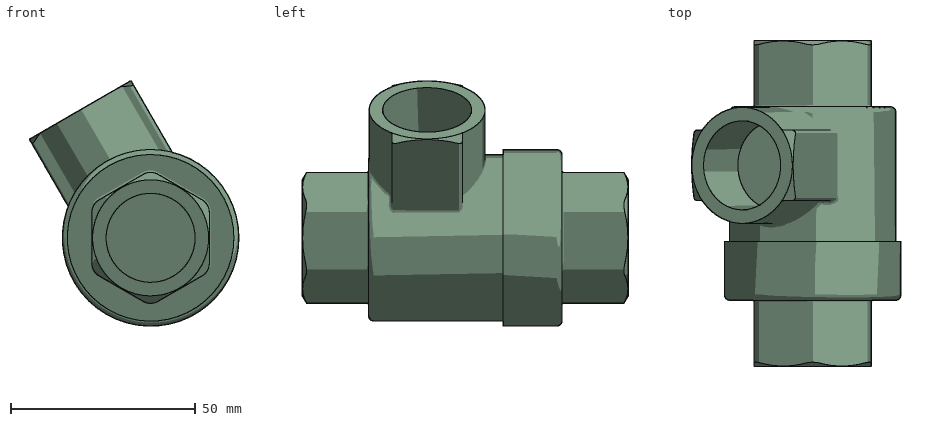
import cadquery as cq
import math

total_length = 88.5
hex_length = 18.0
branch_to_rear_end = 33.9
collar_length = 16.0
body_diameter = 45.2
collar_diameter = 48.0
rim_fillet = 1.5

rear_end = branch_to_rear_end
front_end = rear_end - total_length
body_rear = rear_end - hex_length
collar_front = front_end + hex_length
body_length = body_rear - collar_front

across_flats = 31.9
hex_corner_radius = 4.0
hex_root_fillet = 0.4
end_face_diameter = 31.5
chamfer_angle = 30.0

branch_tilt = 30.0
branch_offset = 0.8
branch_length = 39.65
branch_diameter = end_face_diameter
wrench_block_width = 19.1
wrench_edge_fillet = 1.0
wrench_root_fillet = 1.2
branch_root_fillet = 1.2

port_diameter = 24.2
port_depth = 18.6

tolerance = 0.001


def chamfer_envelope(length):
    """Cylinder along +Z whose far end narrows in a cone to the end face."""
    face_radius = end_face_diameter / 2
    outer_radius = across_flats
    cone_height = (outer_radius - face_radius) * math.tan(math.radians(chamfer_angle))
    return (
        cq.Workplane("XZ")
        .polyline([
            (0, 0),
            (outer_radius, 0),
            (outer_radius, length - cone_height),
            (face_radius, length),
            (0, length),
        ])
        .close()
        .revolve(360, (0, 0, 0), (0, 1, 0))
    )


def hex_end():
    """Rounded hexagon along +Z with a chamfered far end."""
    hexagon = (
        cq.Workplane("XY")
        .polygon(6, across_flats, circumscribed=True)
        .extrude(hex_length)
        .edges("|Z")
        .fillet(hex_corner_radius)
    )
    return hexagon.intersect(chamfer_envelope(hex_length))


def branch():
    """Round branch with two wrench flats, standing on the run axis along +Z."""
    block = cq.Workplane("XY").rect(across_flats, wrench_block_width).extrude(branch_length)
    block = block.edges("|Z").fillet(wrench_edge_fillet)
    tube = disc(branch_diameter, branch_length).union(block)
    tube = tube.edges("|Z").filter(is_wrench_root).fillet(wrench_root_fillet)
    return tube.intersect(chamfer_envelope(branch_length))


def is_wrench_root(edge):
    """True for the lines where the flat-sided block leaves the round tube."""
    middle = edge.Center()
    on_tube = math.isclose(math.hypot(middle.x, middle.y), branch_diameter / 2, abs_tol=tolerance)
    on_block_side = math.isclose(abs(middle.y), wrench_block_width / 2, abs_tol=tolerance)
    return on_tube and on_block_side


def place_branch(shape):
    """Shift a shape built along +Z sideways and lean it toward -X."""
    return shape.translate((branch_offset, 0, 0)).rotate((0, 0, 0), (0, 1, 0), -branch_tilt)


def along_y(shape, direction, y):
    """Turn a shape built along +Z to point along +Y or -Y from the given position."""
    return shape.rotate((0, 0, 0), (1, 0, 0), -90 * direction).translate((0, y, 0))


def disc(diameter, length):
    """Plain cylinder along +Z."""
    return cq.Workplane("XY").circle(diameter / 2).extrude(length)


def is_branch_root(edge):
    """True for the edges where the branch leaves the round body."""
    ends = [edge.startPoint(), edge.endPoint()]
    on_body = all(math.isclose(math.hypot(p.x, p.z), body_diameter / 2, abs_tol=tolerance) for p in ends)
    near_branch = all(abs(p.y) < branch_diameter / 2 + tolerance and p.z > 0 for p in ends)
    return on_body and near_branch


def branched_body():
    """Round body with the filleted branch, cut square at the rear and rounded along the rear rim."""
    spare_length = branch_diameter / 2
    rough = along_y(disc(body_diameter, body_length + spare_length), -1, body_rear + spare_length)
    rough = rough.union(place_branch(branch()))
    rough = rough.edges().filter(is_branch_root).fillet(branch_root_fillet)
    spare = along_y(disc(2 * total_length, spare_length), 1, body_rear)
    return rough.cut(spare).faces(">Y").edges("%CIRCLE").fillet(rim_fillet)


def add_hex(solid, direction, y):
    """Add a hexagonal end to the face at y, with a fillet around its root."""
    corner_radius = across_flats / math.sqrt(3)
    hex_root = cq.selectors.BoxSelector(
        (-corner_radius, y - tolerance, -corner_radius),
        (corner_radius, y + tolerance, corner_radius),
        boundingbox=True,
    )
    return solid.union(along_y(hex_end(), direction, y)).edges(hex_root).fillet(hex_root_fillet)


collar = along_y(disc(collar_diameter, collar_length), 1, collar_front)
collar = collar.faces("<Y").edges().fillet(rim_fillet)

result = branched_body().union(collar)
result = add_hex(result, 1, body_rear)
result = add_hex(result, -1, collar_front)

port = disc(port_diameter, port_depth)
result = result.cut(along_y(port, -1, rear_end))
result = result.cut(along_y(port, 1, front_end))
result = result.cut(place_branch(port.translate((0, 0, branch_length - port_depth))))